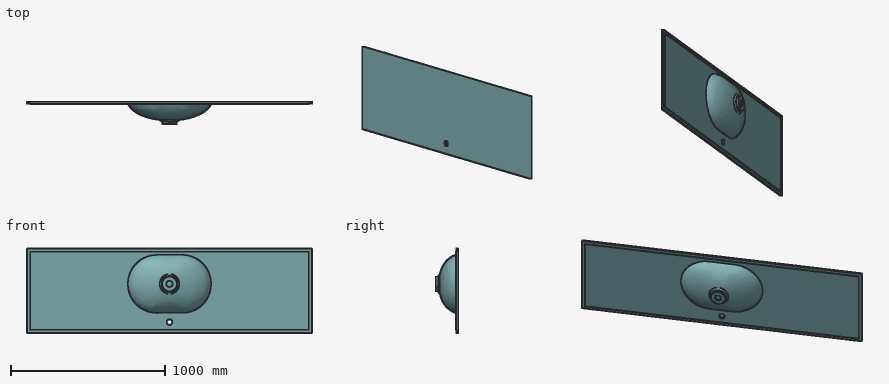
import cadquery as cq
import math

slab_length = 1850.0
slab_height = 550.0
slab_thickness = 13.0
corner_radius = 5.0
back_edge_radius = 4.0

field_border = 20.0
field_height = 4.0

bowl_z = 45.0
bowl_half_straight = 81.0
bowl_end_radius = 189.0
bowl_tip_radius = 55.0
bowl_ellipse_depth = 135.0
bowl_ellipse_cutoff = 28.0
section_steps = 8
points_per_section = 32

collar_base_radius = 70.0
collar_root_radius = 78.0
collar_root_overlap = 4.0
collar_middle_radius = 60.0
collar_tip_radius = 52.0
collar_middle_height = 4.0
collar_height = 11.0

drain_diameter = 96.0
drain_bore_diameter = 40.0
drain_bore_depth = 10.0
total_depth = 146.0

tap_hole_diameter = 35.0
tap_hole_z = -204.0

border_y = -slab_thickness
field_y = border_y - field_height
drain_end_y = -total_depth

bowl_half_length = bowl_half_straight + bowl_end_radius
bowl_rim_fraction = math.sqrt(1 - (bowl_ellipse_cutoff / bowl_ellipse_depth) ** 2)


def front_plane(y, z=0.0):
    """Plane facing -Y at the given height, with local x along +X and local y along +Z."""
    return cq.Plane(origin=(0, y, z), xDir=(1, 0, 0), normal=(0, -1, 0))


def bowl_depth(half_length):
    """Depth below the raised field where the bowl has this half length: part of an ellipse."""
    fraction = bowl_rim_fraction * half_length / bowl_half_length
    return bowl_ellipse_depth * math.sqrt(1 - fraction ** 2) - bowl_ellipse_cutoff


collar_base_y = field_y - bowl_depth(collar_base_radius)
collar_tip_y = collar_base_y - collar_height


def stadium_point(angle, half_straight, radius):
    """Point where a ray from the centre meets a stadium outline."""
    c = math.cos(angle)
    s = math.sin(angle)
    if abs(c) * radius <= half_straight * abs(s):
        reach = radius / abs(s)
    else:
        along = half_straight * abs(c)
        reach = along + math.sqrt(along ** 2 - half_straight ** 2 + radius ** 2)
    return reach * c, reach * s


def bowl_section(size):
    """Closed outline of the bowl: a circle at size 0 and the full stadium rim at size 1."""
    half_straight = bowl_half_straight * size
    radius = bowl_tip_radius + (bowl_end_radius - bowl_tip_radius) * size
    y = field_y - bowl_depth(half_straight + radius)
    points = []
    for i in range(points_per_section):
        angle = 2 * math.pi * i / points_per_section
        x, z = stadium_point(angle, half_straight, radius)
        points.append(cq.Vector(x, y, bowl_z + z))
    return cq.Wire.assembleEdges([cq.Edge.makeSpline(points, periodic=True)])


def make_slab():
    slab = (
        cq.Workplane(front_plane(0))
        .rect(slab_length, slab_height)
        .extrude(slab_thickness)
        .edges("|Y").fillet(corner_radius)
        .faces(">Y").edges().fillet(back_edge_radius)
    )
    field = (
        cq.Workplane(front_plane(border_y))
        .rect(slab_length - 2 * field_border, slab_height - 2 * field_border)
        .extrude(field_height)
    )
    return slab.union(field)


def make_bowl():
    sections = [bowl_section(1 - i / section_steps) for i in range(section_steps + 1)]
    return cq.Workplane(cq.Solid.makeLoft(sections))


def make_collar():
    """Disc with a concave, flaring side, turned about the drain axis."""
    root_y = collar_base_y + collar_root_overlap
    middle_y = collar_base_y - collar_middle_height
    return (
        cq.Workplane("XY", origin=(0, 0, bowl_z))
        .moveTo(0, root_y)
        .lineTo(collar_root_radius, root_y)
        .threePointArc((collar_middle_radius, middle_y), (collar_tip_radius, collar_tip_y))
        .lineTo(0, collar_tip_y)
        .close()
        .revolve(360, (0, 0, 0), (0, 1, 0))
    )


def make_drain():
    return (
        cq.Workplane(front_plane(collar_tip_y, bowl_z))
        .circle(drain_diameter / 2)
        .extrude(collar_tip_y - drain_end_y)
        .faces("<Y").workplane(origin=(0, 0, bowl_z))
        .hole(drain_bore_diameter, drain_bore_depth)
    )


def make_tap_hole():
    """Plug of material to remove, through the slab and its raised field."""
    return (
        cq.Workplane(front_plane(0, tap_hole_z))
        .circle(tap_hole_diameter / 2)
        .extrude(slab_thickness + field_height)
    )


basin = make_slab().union(make_bowl()).union(make_collar())
basin = basin.cut(make_tap_hole())
drain = make_drain()

result = cq.Compound.makeCompound([basin.val(), drain.val()])